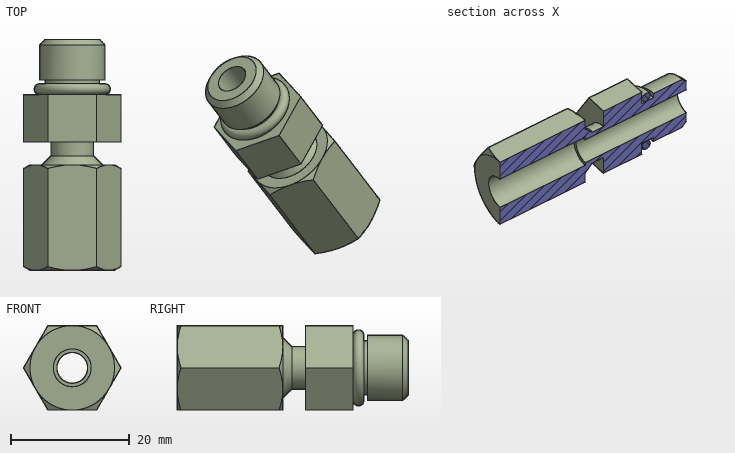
import cadquery as cq
import math

total_length = 38.85
across_flats = 14.22
across_corners = across_flats / math.cos(math.radians(30))

nut_length = 17.75
nut_chamfer_angle = 30.0
cone_end = 19.27
collar_start = 21.55
collar_end = 29.57
neck_radius = 3.6
cone_radius = neck_radius + cone_end - nut_length

thread_start = 32.0
thread_radius = 5.5
thread_chamfer = 0.95
groove_radius = 4.6

bore_radius = 2.55
tube_socket_radius = 3.2
tube_socket_depth = nut_length

ring_section_radius = 1.83 / 2
ring_centre_radius = groove_radius + ring_section_radius
ring_position = collar_end + ring_section_radius


def along_y(start):
    """Workplane across the axis at the given Y, extruding toward +Y."""
    return cq.Workplane(cq.Plane(origin=(0, start, 0), xDir=(1, 0, 0), normal=(0, 1, 0)))


def cylinder(radius, start, end):
    return along_y(start).circle(radius).extrude(end - start)


def hexagon(start, end):
    return along_y(start).polygon(6, across_corners).extrude(end - start)


def revolve_about_y(profile):
    return profile.close().revolve(360, (0, 0, 0), (0, 1, 0))


def make_nut_hex():
    """Hexagon with its corners turned off conically at both ends."""
    flat_radius = across_flats / 2
    corner_radius = across_corners / 2
    drop = (corner_radius - flat_radius) * math.tan(math.radians(nut_chamfer_angle))
    envelope = revolve_about_y(
        cq.Workplane("XY")
        .moveTo(0, 0)
        .lineTo(flat_radius, 0)
        .lineTo(corner_radius, drop)
        .lineTo(corner_radius, nut_length - drop)
        .lineTo(flat_radius, nut_length)
        .lineTo(0, nut_length)
    )
    return hexagon(0, nut_length).intersect(envelope)


def make_neck():
    """Neck from the collar that flares into the nut face."""
    return revolve_about_y(
        cq.Workplane("XY")
        .moveTo(0, nut_length)
        .lineTo(cone_radius, nut_length)
        .lineTo(neck_radius, cone_end)
        .lineTo(neck_radius, collar_start)
        .lineTo(0, collar_start)
    )


def make_stud():
    """Seal groove followed by the thread cylinder with a chamfered end."""
    thread = cylinder(thread_radius, thread_start, total_length).faces(">Y").chamfer(thread_chamfer)
    return cylinder(groove_radius, collar_end, thread_start).union(thread)


def make_fitting():
    outside = make_nut_hex().union(make_neck()).union(hexagon(collar_start, collar_end)).union(make_stud())
    bore = cylinder(bore_radius, 0, total_length)
    tube_socket = cylinder(tube_socket_radius, 0, tube_socket_depth)
    return outside.cut(bore).cut(tube_socket).solids()


def make_sealing_ring():
    section = cq.Workplane("XY").center(ring_centre_radius, ring_position).circle(ring_section_radius)
    return section.revolve(360, (-ring_centre_radius, 0, 0), (-ring_centre_radius, 1, 0))


fitting = make_fitting()
sealing_ring = make_sealing_ring()

result = cq.Compound.makeCompound([fitting.val(), sealing_ring.val()])